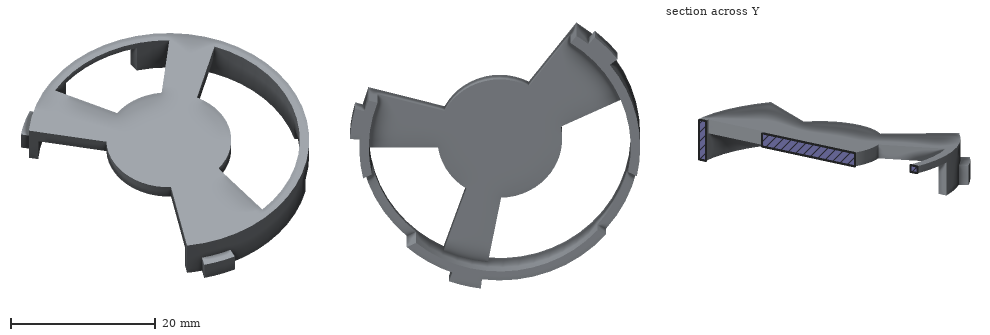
import cadquery as cq
import math

height = 5.8
outer_radius = 19.5
wall_thickness = 1.3
inner_radius = outer_radius - wall_thickness
hub_radius = 8.68
plate_thickness = 2.0

upper_window = (13.7, 6.5, 120.5, 114.1)
left_window = (147.5, 140.7, 201.2, 196.7)
front_gap = (233.3, 226.0, 328.4, 323.0)

wall_notches = [(52.0, 0, 9.55, 2.45), (180.0, -1.85, 11.7, 4.78)]
notch_start = 15.12

tab_radius = 20.85
tab_height = 2.8
tab_span = 12.4
tab_angles = [128.8, 214.9, 340.8]

overlap = 0.4


def polar(radius, angle):
    """Point at a radius and an angle in degrees."""
    return radius * math.cos(math.radians(angle)), radius * math.sin(math.radians(angle))


def sector(radius_in, radius_out, corners, depth):
    """Ring sector standing on Z = 0, with straight sides joining its four corner angles."""
    in_start, out_start, out_end, in_end = corners
    return (
        cq.Workplane("XY")
        .moveTo(*polar(radius_in, in_start))
        .lineTo(*polar(radius_out, out_start))
        .threePointArc(polar(radius_out, (out_start + out_end) / 2), polar(radius_out, out_end))
        .lineTo(*polar(radius_in, in_end))
        .threePointArc(polar(radius_in, (in_start + in_end) / 2), polar(radius_in, in_start))
        .close()
        .extrude(depth)
    )


def wall_notch(direction, offset, width, notch_height):
    """Box crossing the wall in one direction."""
    length = outer_radius + overlap - notch_start
    box = cq.Workplane("XY").box(length, width, notch_height, centered=(False, True, False))
    box = box.translate((notch_start, offset, 0))
    return box.rotate((0, 0, 0), (0, 0, 1), direction)


def tab(angle):
    """Locking tab with radial sides, centred on an angle."""
    start = angle - tab_span / 2
    end = angle + tab_span / 2
    return sector(outer_radius - overlap, tab_radius, (start, start, end, end), tab_height)


body = cq.Workplane("XY").circle(outer_radius).extrude(height)
body = body.cut(cq.Workplane("XY").circle(inner_radius).extrude(height - plate_thickness))

for window in (upper_window, left_window):
    body = body.cut(sector(hub_radius, inner_radius, window, height))
body = body.cut(sector(hub_radius, outer_radius, front_gap, height))

for notch in wall_notches:
    body = body.cut(wall_notch(*notch))

for tab_angle in tab_angles:
    body = body.union(tab(tab_angle))

result = body